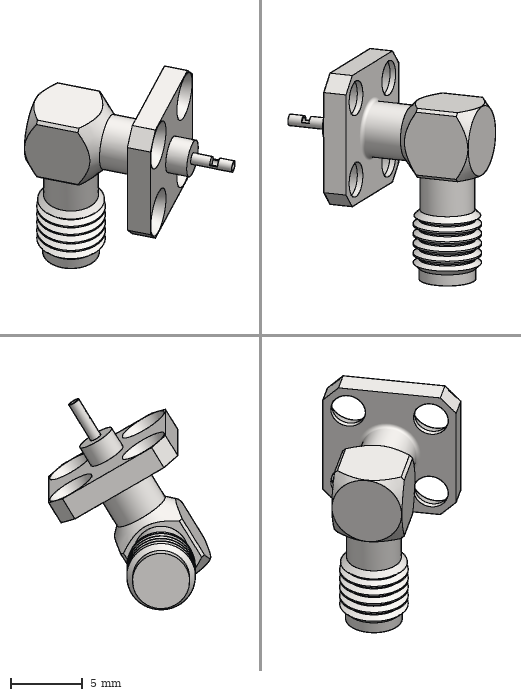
import cadquery as cq
import math


total_height = 15.0
total_length = 14.55

flange_side = 9.5
flange_thickness = 1.7
flange_back_x = 10.0
flange_corner_cut = 1.12
flange_hole_diameter = 2.46
flange_hole_back_diameter = 3.42
flange_hole_straight_depth = 0.42
flange_hole_spacing = 5.9
flange_front_x = flange_back_x - flange_thickness
elbow_axis_z = total_height - flange_side / 2

body_side = 5.0
body_edge_chamfer = 0.22
body_end_radius = 2.48
neck_radius = 1.96
neck_start_x = 5.35
neck_fillet = 0.27

dielectric_diameter = 2.61
dielectric_end_x = 11.55
pin_diameter = 0.82
cup_diameter = 0.6
cup_slot_start_x = 12.95
cup_slot_width = 0.57

barrel_axis_x = 2.62
barrel_radius = 1.92
barrel_end_radius = 2.0
thread_top_z = 5.0
thread_bottom_z = 0.81
thread_root_radius = 1.98
thread_crest_radius = 2.4
thread_pitch = 0.7
crest_flat = 0.12
root_flat = 0.09
full_thread_count = 4
first_crest_z = 4.02
top_ridge_z = 4.59
top_ridge_radius = 2.34
bottom_ridge_z = 1.18


def rod_x(radius, start_x, end_x):
    """Cylinder on the elbow axis between two X positions."""
    start = cq.Vector(start_x, 0, elbow_axis_z)
    return cq.Workplane(cq.Solid.makeCylinder(radius, end_x - start_x, start, cq.Vector(1, 0, 0)))


def make_elbow_body():
    """Chamfered square bar trimmed by a 45 degree cone at each end."""
    bar = (
        cq.Workplane("YZ")
        .center(0, elbow_axis_z)
        .rect(body_side, body_side)
        .extrude(neck_start_x)
        .edges("|X")
        .chamfer(body_edge_chamfer)
    )
    apex_x = (neck_start_x + neck_radius - body_end_radius) / 2
    apex_radius = body_end_radius + apex_x
    envelope = (
        cq.Workplane("XY")
        .polyline([
            (0, 0),
            (0, body_end_radius),
            (apex_x, apex_radius),
            (neck_start_x, neck_radius),
            (neck_start_x, 0),
        ])
        .close()
        .revolve(360, (0, 0, 0), (1, 0, 0))
        .translate((0, 0, elbow_axis_z))
    )
    return bar.intersect(envelope)


def make_neck():
    """Round neck that flares with a concave fillet onto the flange."""
    flare_x = flange_front_x - neck_fillet
    flare_radius = neck_radius + neck_fillet
    arc_offset = neck_fillet * math.sqrt(0.5)
    return (
        cq.Workplane("XY")
        .moveTo(neck_start_x, 0)
        .lineTo(neck_start_x, neck_radius)
        .lineTo(flare_x, neck_radius)
        .threePointArc(
            (flare_x + arc_offset, flare_radius - arc_offset),
            (flange_front_x, flare_radius),
        )
        .lineTo(flange_front_x, 0)
        .close()
        .revolve(360, (0, 0, 0), (1, 0, 0))
        .translate((0, 0, elbow_axis_z))
    )


def make_flange():
    plate = (
        cq.Workplane("YZ", origin=(flange_front_x, 0, elbow_axis_z))
        .rect(flange_side, flange_side)
        .extrude(flange_thickness)
        .edges("|X")
        .chamfer(flange_corner_cut)
    )
    hole_radius = flange_hole_diameter / 2
    hole = (
        cq.Workplane("XY")
        .polyline([
            (flange_front_x, 0),
            (flange_front_x, hole_radius),
            (flange_front_x + flange_hole_straight_depth, hole_radius),
            (flange_back_x, flange_hole_back_diameter / 2),
            (flange_back_x, 0),
        ])
        .close()
        .revolve(360, (0, 0, 0), (1, 0, 0))
    )
    hole_offset = flange_hole_spacing / 2
    for side_y in (-1, 1):
        for side_z in (-1, 1):
            hole_z = elbow_axis_z + side_z * hole_offset
            plate = plate.cut(hole.translate((0, side_y * hole_offset, hole_z)))
    return plate


def make_pin():
    """Pin with a blind solder cup from its tip and a slot opening the cup on the upper side."""
    pin = rod_x(pin_diameter / 2, dielectric_end_x, total_length)
    cup = rod_x(cup_diameter / 2, cup_slot_start_x, total_length)
    slot = (
        cq.Workplane("XY", origin=(cup_slot_start_x, 0, elbow_axis_z))
        .box(cup_slot_width, pin_diameter, pin_diameter, centered=(False, True, False))
    )
    return pin.cut(cup).cut(slot)


def make_barrel():
    """Barrel turned about a vertical axis: plain shank, ring-shaped threads and plain end."""
    profile = [
        (0, elbow_axis_z),
        (barrel_radius, elbow_axis_z),
        (barrel_radius, thread_top_z),
        (top_ridge_radius, top_ridge_z),
    ]
    flank_height = (thread_pitch - crest_flat - root_flat) / 2
    for index in range(full_thread_count):
        crest_z = first_crest_z - index * thread_pitch
        profile += [
            (thread_root_radius, crest_z + flank_height + root_flat),
            (thread_root_radius, crest_z + flank_height),
            (thread_crest_radius, crest_z),
            (thread_crest_radius, crest_z - crest_flat),
        ]
    last_root_z = first_crest_z - full_thread_count * thread_pitch + flank_height
    profile += [
        (thread_root_radius, last_root_z + root_flat),
        (thread_root_radius, last_root_z),
        (thread_crest_radius, bottom_ridge_z),
        (barrel_end_radius, thread_bottom_z),
        (barrel_end_radius, 0),
        (0, 0),
    ]
    return (
        cq.Workplane("XZ")
        .polyline(profile)
        .close()
        .revolve(360, (0, 0, 0), (0, 1, 0))
        .translate((barrel_axis_x, 0, 0))
    )


result = (
    make_elbow_body()
    .union(make_neck())
    .union(make_flange())
    .union(rod_x(dielectric_diameter / 2, flange_back_x, dielectric_end_x))
    .union(make_pin())
    .union(make_barrel())
)